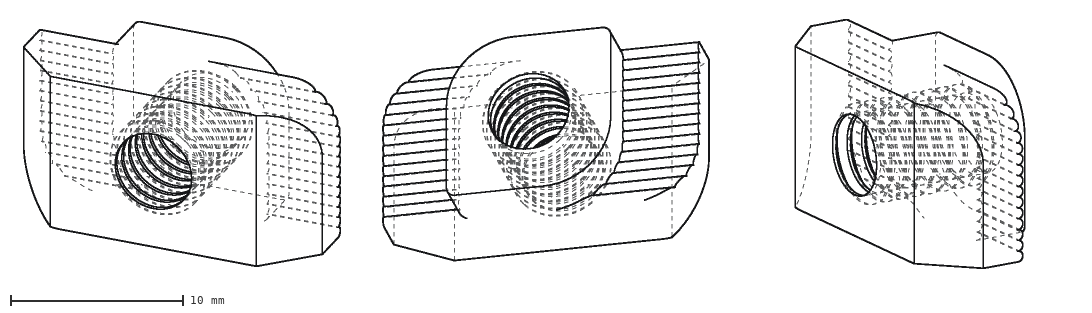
import cadquery as cq

length = 18.8
height = 9.8
depth = 8.6

flange_depth = 5.62
flange_radius = 3.5
chamfer = 2.91

neck_width = height
neck_large_radius = 4.0
neck_small_radius = 0.5

serration_count = 15
serration_pitch = height / serration_count
serration_radius = serration_pitch / 2
flange_base_depth = flange_depth - serration_radius

minor_radius = 2.4
groove_depth = 0.58
groove_count = 8
groove_pitch = 1.0
land_width = 0.25
groove_mouth = groove_pitch - land_width
groove_floor = 0.13


def rounded_plate(width, y_start, y_end, main_radius, other_radius=0):
    """Plate with one radius on its -X-Z and +X+Z corners and another on the other two."""
    plate = cq.Workplane("XY").box(width, y_end - y_start, height, centered=(True, False, True))
    plate = plate.translate((0, y_start, 0))
    middle = (y_start + y_end) / 2
    for side in (-1, 1):
        main_corner = cq.NearestToPointSelector((side * width / 2, middle, side * height / 2))
        plate = plate.edges("|Y").edges(main_corner).fillet(main_radius)
        if other_radius:
            other_corner = cq.NearestToPointSelector((side * width / 2, middle, -side * height / 2))
            plate = plate.edges("|Y").edges(other_corner).fillet(other_radius)
    return plate


def flange_profile():
    """Side profile of the serrated flange, extruded along X."""
    profile = cq.Workplane("YZ").moveTo(0, -height / 2).lineTo(flange_base_depth, -height / 2)
    for index in range(serration_count):
        bottom = -height / 2 + index * serration_pitch
        crest = (flange_depth, bottom + serration_radius)
        profile = profile.threePointArc(crest, (flange_base_depth, bottom + serration_pitch))
    return profile.lineTo(0, height / 2).close().extrude(length / 2, both=True)


def chamfered_outline():
    """Flange outline in XY with both front edges cut at 45 degrees."""
    half = length / 2
    points = [
        (-half, chamfer),
        (-half + chamfer, 0),
        (half - chamfer, 0),
        (half, chamfer),
        (half, flange_depth),
        (-half, flange_depth),
    ]
    return cq.Workplane("XY").polyline(points).close().extrude(height / 2, both=True)


def threaded_hole():
    """Hole with equally spaced trapezoidal grooves, the first just behind the front face."""
    root_radius = minor_radius + groove_depth
    first_centre = land_width + groove_mouth / 2
    profile = cq.Workplane("XY").lineTo(minor_radius, 0)
    for index in range(groove_count):
        centre = first_centre + index * groove_pitch
        profile = profile.lineTo(minor_radius, centre - groove_mouth / 2)
        profile = profile.lineTo(root_radius, centre - groove_floor / 2)
        profile = profile.lineTo(root_radius, centre + groove_floor / 2)
        profile = profile.lineTo(minor_radius, centre + groove_mouth / 2)
    profile = profile.lineTo(minor_radius, depth).lineTo(0, depth).close()
    return profile.revolve(360, (0, 0, 0), (0, 1, 0))


flange = rounded_plate(length, 0, flange_depth, flange_radius)
flange = flange.intersect(chamfered_outline()).intersect(flange_profile())
neck = rounded_plate(neck_width, flange_base_depth, depth, neck_large_radius, neck_small_radius)

body = flange.union(neck).cut(threaded_hole())
result = body.translate((0, -depth / 2, 0))